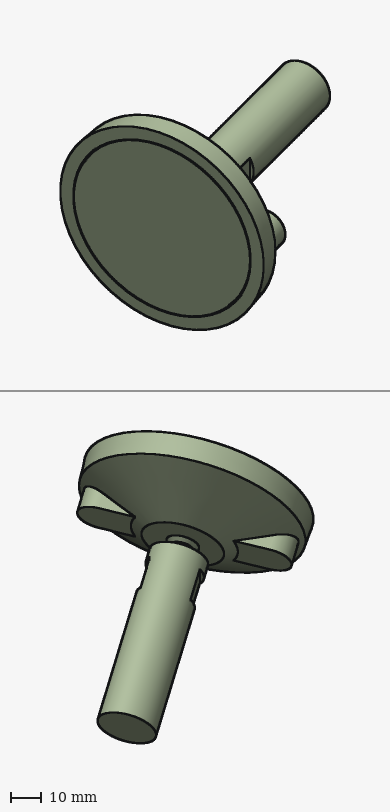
import cadquery as cq

total_length = 90.0

base_diameter = 78.0
rim_top_radius = 38.5
rim_height = 8.3
plate_height = 20.0
crown_radius = 14.0

groove_outer_diameter = 68.0
groove_inner_diameter = 67.5
groove_depth = 2.0

lug_span = 72.9
lug_width = 14.3
lug_top = 18.0

neck_diameter = 7.8
flare_diameter = 11.2
flare_height = 1.4

stem_diameter = 20.0
stem_start = 25.0
flat_start = 30.1
flat_length = 11.5
across_flats = 17.0


def make_turned_body():
    """Revolve the plate, flare, neck and stem about the Y axis."""
    neck_start = plate_height + flare_height
    return (
        cq.Workplane("XY")
        .moveTo(0, 0)
        .lineTo(base_diameter / 2, 0)
        .lineTo(rim_top_radius, rim_height)
        .lineTo(crown_radius, plate_height)
        .lineTo(flare_diameter / 2, plate_height)
        .lineTo(neck_diameter / 2, neck_start)
        .lineTo(neck_diameter / 2, stem_start)
        .lineTo(stem_diameter / 2, stem_start)
        .lineTo(stem_diameter / 2, total_length)
        .lineTo(0, total_length)
        .close()
        .revolve(360, (0, 0, 0), (0, 1, 0))
    )


def make_lugs():
    """One rounded bar through the plate forms both lugs."""
    return (
        cq.Workplane("XZ", origin=(0, rim_height, 0))
        .slot2D(lug_span, lug_width)
        .extrude(-(lug_top - rim_height))
    )


def make_pad_groove():
    return (
        cq.Workplane("XZ")
        .circle(groove_outer_diameter / 2)
        .circle(groove_inner_diameter / 2)
        .extrude(-groove_depth)
    )


def make_flat_cutter(side):
    """Block outside one wrench flat; side is -1 or +1 along X."""
    block = stem_diameter
    return cq.Workplane("XY").box(block, flat_length, block).translate(
        (side * (across_flats + block) / 2, flat_start + flat_length / 2, 0)
    )


result = make_turned_body().union(make_lugs()).cut(make_pad_groove())
for side in (-1, 1):
    result = result.cut(make_flat_cutter(side))